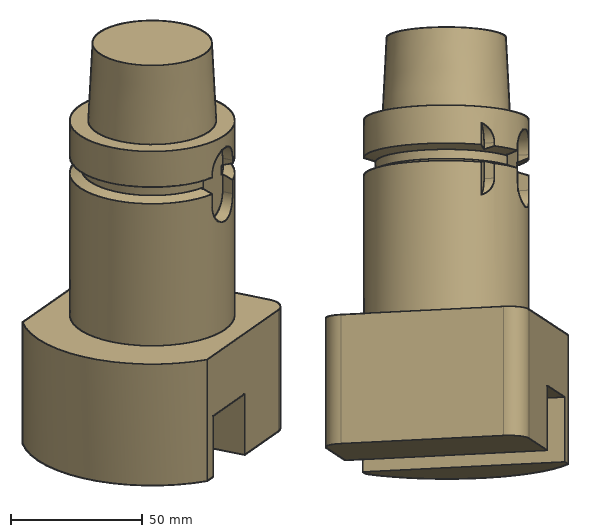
import cadquery as cq

total_height = 162.0
base_height = 50.0
shoulder_height = 130.1

base_radius = 50.0
base_width = 80.0
back_y = 34.8
back_corner_radius = 8.0
base_slot_width = 25.1
base_slot_depth = 25.1

body_radius = 63.0 / 2
groove_radius = 27.0
groove_center_z = 112.0
groove_mouth_width = 6.8
groove_floor_width = 3.5

nose_base_radius = 24.5
nose_top_radius = 22.8

pocket_width = 16.4
pocket_length = 30.1
pocket_center_z = 109.8
drive_pocket_floor_x = 26.1
notch_floor_x = 20.4
notch_center_y = 28.0


def make_base():
    block_length = base_radius + back_y
    block = (
        cq.Workplane("XY")
        .center(0, back_y - block_length / 2)
        .rect(base_width, block_length)
        .extrude(base_height)
        .edges("|Z and >Y")
        .fillet(back_corner_radius)
    )
    disc = cq.Workplane("XY").circle(base_radius).extrude(base_height)
    back_half = (
        cq.Workplane("XY")
        .center(0, back_y / 2)
        .rect(base_width, back_y)
        .extrude(base_height)
    )
    base = block.intersect(disc.union(back_half))
    slot = (
        cq.Workplane("XY")
        .center(0, -base_slot_width / 2)
        .rect(base_width, base_slot_width)
        .extrude(base_slot_depth)
    )
    return base.cut(slot)


def make_shank():
    half_mouth = groove_mouth_width / 2
    half_floor = groove_floor_width / 2
    return (
        cq.Workplane("XZ")
        .moveTo(0, base_height)
        .lineTo(body_radius, base_height)
        .lineTo(body_radius, groove_center_z - half_mouth)
        .lineTo(groove_radius, groove_center_z - half_floor)
        .lineTo(groove_radius, groove_center_z + half_floor)
        .lineTo(body_radius, groove_center_z + half_mouth)
        .lineTo(body_radius, shoulder_height)
        .lineTo(nose_base_radius, shoulder_height)
        .lineTo(nose_top_radius, total_height)
        .lineTo(0, total_height)
        .close()
        .revolve(360, (0, 0, 0), (0, 1, 0))
    )


def make_pocket(side, floor_x, center_y):
    """Obround cutter from floor_x outward, on the +X (side=1) or -X (side=-1) side."""
    return (
        cq.Workplane("YZ", origin=(side * floor_x, center_y, pocket_center_z))
        .slot2D(pocket_length, pocket_width, 90)
        .extrude(side * body_radius)
    )


result = make_base().union(make_shank())

for side in (-1, 1):
    result = result.cut(make_pocket(side, drive_pocket_floor_x, 0))

result = result.cut(make_pocket(-1, notch_floor_x, notch_center_y))